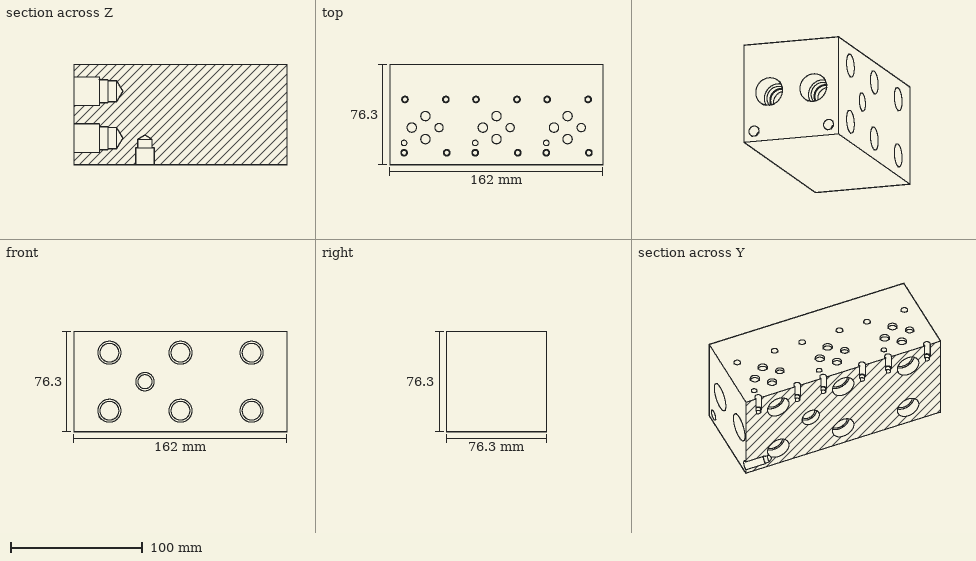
import cadquery as cq
import math

LENGTH = 162.0
WIDTH = 76.3
HEIGHT = 76.3

STATION_COUNT = 3
STATION_PITCH = LENGTH / STATION_COUNT

DRILL_POINT_ANGLE = 118.0

BACK_BOLT_ROW_Y = 49.7 - WIDTH / 2
BACK_BOLT_HALF_SPAN = 15.5
FRONT_BOLT_HALF_SPAN = 16.2
FRONT_BOLT_SETBACK = 40.5
PIN_SETBACK = 33.0
BACK_PORT_SETBACK = 12.6
MIDDLE_PORT_SETBACK = 21.4
FRONT_PORT_SETBACK = 30.1
MIDDLE_PORT_HALF_SPAN = 10.4

VALVE_PORT = [(7.1, 2.5)]
SMALL_VALVE_PORT = [(6.3, 2.5)]
PIN_HOLE = [(4.2, 4.9)]
BOLT_HOLE = [(5.0, 13.0), (3.9, 16.2)]

WORK_PORT = [(17.5, 16.2), (14.2, 22.7)]
WORK_PORT_RISE = 22.0
GAUGE_PORT = [(14.0, 13.0), (10.7, 19.5)]

SUPPLY_PORT = [(21.5, 19.5), (17.3, 25.9), (15.9, 32.4)]
SUPPLY_PORT_HALF_SPAN = 17.8
MOUNT_HOLE = [(8.0, 16.2), (6.8, 19.5)]
MOUNT_HOLE_INSET = 8.1


def stepped_hole(steps):
    """Solid of a stepped blind hole: mouth at the origin, running along -Z to a drill point."""
    outline = [(0, 0)]
    for diameter, floor_depth in steps:
        outline.append((diameter / 2, outline[-1][1]))
        outline.append((diameter / 2, -floor_depth))
    last_diameter, last_depth = steps[-1]
    point_length = last_diameter / 2 / math.tan(math.radians(DRILL_POINT_ANGLE / 2))
    outline.append((0, -last_depth - point_length))
    return cq.Workplane("XZ").polyline(outline).close().revolve(360, (0, 0, 0), (0, 1, 0)).val()


def drill(block, face, steps, places):
    """Cut the same stepped hole into a face plane at each place."""
    hole = stepped_hole(steps)
    for u, v in places:
        plane = cq.Plane(face.toWorldCoords((u, v)), xDir=face.xDir, normal=face.zDir)
        block = block.cut(cq.Workplane(hole.moved(cq.Location(plane))))
    return block


top_face = cq.Plane((0, 0, HEIGHT / 2), xDir=(1, 0, 0), normal=(0, 0, 1))
front_face = cq.Plane((0, -WIDTH / 2, 0), xDir=(1, 0, 0), normal=(0, -1, 0))
left_face = cq.Plane((-LENGTH / 2, 0, 0), xDir=(0, -1, 0), normal=(-1, 0, 0))

result = cq.Workplane().box(LENGTH, WIDTH, HEIGHT)

for station in range(STATION_COUNT):
    x = (station - (STATION_COUNT - 1) / 2) * STATION_PITCH
    bolt_places = []
    for side in (-1, 1):
        bolt_places.append((x + side * BACK_BOLT_HALF_SPAN, BACK_BOLT_ROW_Y))
        bolt_places.append((x + side * FRONT_BOLT_HALF_SPAN, BACK_BOLT_ROW_Y - FRONT_BOLT_SETBACK))
    port_places = [
        (x, BACK_BOLT_ROW_Y - BACK_PORT_SETBACK),
        (x, BACK_BOLT_ROW_Y - FRONT_PORT_SETBACK),
        (x - MIDDLE_PORT_HALF_SPAN, BACK_BOLT_ROW_Y - MIDDLE_PORT_SETBACK),
    ]
    small_port_place = (x + MIDDLE_PORT_HALF_SPAN, BACK_BOLT_ROW_Y - MIDDLE_PORT_SETBACK)
    pin_place = (x - FRONT_BOLT_HALF_SPAN, BACK_BOLT_ROW_Y - PIN_SETBACK)

    result = drill(result, top_face, BOLT_HOLE, bolt_places)
    result = drill(result, top_face, VALVE_PORT, port_places)
    result = drill(result, top_face, SMALL_VALVE_PORT, [small_port_place])
    result = drill(result, top_face, PIN_HOLE, [pin_place])
    result = drill(result, front_face, WORK_PORT, [(x, WORK_PORT_RISE), (x, -WORK_PORT_RISE)])

result = drill(result, front_face, GAUGE_PORT, [(-STATION_PITCH / 2, 0)])

mount_hole_y = WIDTH / 2 - MOUNT_HOLE_INSET
mount_hole_z = MOUNT_HOLE_INSET - HEIGHT / 2
for side in (-1, 1):
    result = drill(result, left_face, SUPPLY_PORT, [(side * SUPPLY_PORT_HALF_SPAN, 0)])
    result = drill(result, left_face, MOUNT_HOLE, [(side * mount_hole_y, mount_hole_z)])